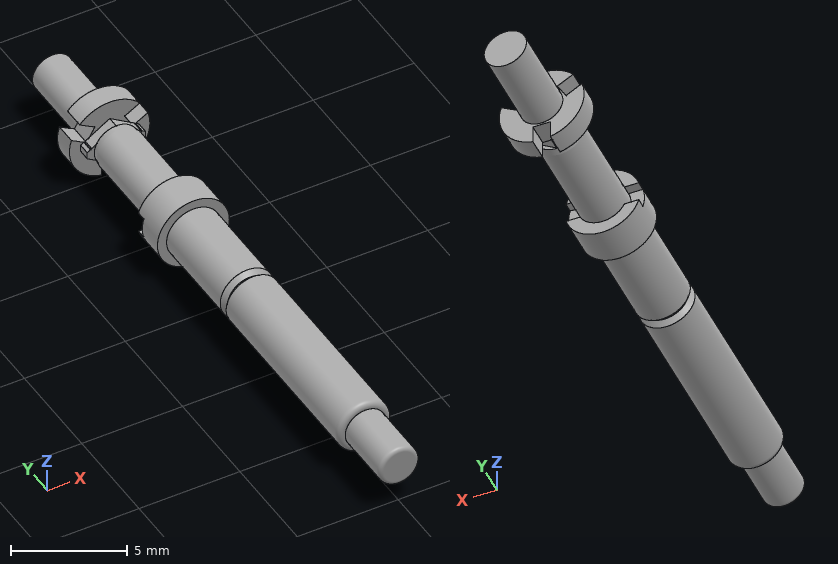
import cadquery as cq


rod_radius = 1.0
barrel_radius = 1.33
collar_radius = 1.8
sleeve_radius = 1.15
neck_radius = 1.45
flange_radius = 2.0

barrel_start = 3.0
collar_start = 18.0
sleeve_start = 19.8
neck_start = 24.72
flange_start = 25.3
flange_end = 26.35
pin_length = 30.3

tip_rounding = 0.2
barrel_rounding = 0.27
sleeve_taper_length = 0.35
sleeve_taper_depth = 0.05

groove_centre = 13.05
groove_width = 0.5
groove_depth = 0.2

collar_slot_width = 1.0
collar_slot_depth = 0.45

neck_flat_distance = 0.9
neck_flat_angles = (58, 122, 238, 302)
slot_width = 0.82
flange_slot_floor = 1.1
neck_slot_floor = 1.2
slot_angles = (30, 150, 270)


def cylinder(radius, start, end):
    """Solid cylinder on the pin axis between two positions."""
    return cq.Workplane("XZ", origin=(0, start, 0)).circle(radius).extrude(start - end)


def radial_cutter(inner, width, start, end, angle):
    """Block lying beyond `inner` from the axis, turned in the XZ plane from +X towards +Z."""
    depth = flange_radius
    block = cq.Workplane("XY").box(depth, end - start, width, centered=(False, False, True))
    block = block.translate((inner, start, 0))
    return block.rotate((0, 0, 0), (0, 1, 0), -angle)


def make_front_rod():
    rod = cylinder(rod_radius, 0, barrel_start)
    return rod.faces("<Y").edges().fillet(tip_rounding)


def make_rear_rod():
    return cylinder(rod_radius, flange_end, pin_length)


def make_barrel():
    barrel = cylinder(barrel_radius, barrel_start, collar_start)
    barrel = barrel.faces("<Y").edges().fillet(barrel_rounding)
    half_width = groove_width / 2
    groove = (
        cq.Workplane("XY")
        .moveTo(barrel_radius, groove_centre - half_width)
        .lineTo(barrel_radius - groove_depth, groove_centre)
        .lineTo(barrel_radius, groove_centre + half_width)
        .close()
        .revolve(360, (0, 0, 0), (0, 1, 0))
    )
    return barrel.cut(groove)


def make_collar():
    collar = cylinder(collar_radius, collar_start, sleeve_start)
    slot = cq.Workplane("XY").box(2 * collar_radius, collar_slot_depth, collar_slot_width)
    return collar.cut(slot.translate((0, sleeve_start - collar_slot_depth / 2, 0)))


def make_sleeve():
    sleeve = cylinder(sleeve_radius, collar_start, neck_start)
    return sleeve.faces(">Y").edges().chamfer(sleeve_taper_length, sleeve_taper_depth)


def cut_slots(body, floor, start, end):
    """Cut the three axial slots into a body, down to flats at `floor` from the axis."""
    for angle in slot_angles:
        body = body.cut(radial_cutter(floor, slot_width, start, end, angle))
    return body


def make_neck():
    neck = cylinder(neck_radius, neck_start, flange_start)
    for angle in neck_flat_angles:
        flat_cutter = radial_cutter(neck_flat_distance, 2 * neck_radius, neck_start, flange_start, angle)
        neck = neck.cut(flat_cutter)
    return cut_slots(neck, neck_slot_floor, neck_start, flange_start)


def make_flange():
    flange = cylinder(flange_radius, flange_start, flange_end)
    return cut_slots(flange, flange_slot_floor, flange_start, flange_end)


result = make_front_rod()
for section in (make_barrel(), make_collar(), make_sleeve(), make_neck(), make_flange(), make_rear_rod()):
    result = result.union(section)